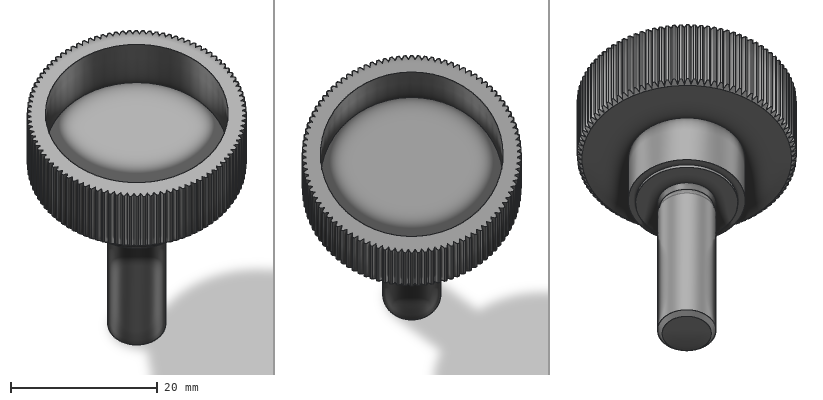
import cadquery as cq
import math

head_radius = 15.0
head_height = 11.0
head_chamfer = 0.65
recess_radius = 12.5
recess_depth = 8.0

groove_count = 100
groove_depth = 0.54
groove_width = 0.63

hub_radius = 8.0
hub_height = 8.0
step_radius = 7.0
step_height = 0.5

stud_radius = 4.0
stud_length = 25.0
stud_chamfer = 0.63
undercut_depth = 0.27
undercut_length = 2.0

step_bottom = stud_length
hub_bottom = step_bottom + step_height
head_bottom = hub_bottom + hub_height
head_top = head_bottom + head_height


def make_turned_body():
    """Head, hub, step and stud as one revolved half section (radius, height)."""
    section = (
        cq.Workplane("XZ")
        .moveTo(0, 0)
        .lineTo(stud_radius - stud_chamfer, 0)
        .lineTo(stud_radius, stud_chamfer)
        .lineTo(stud_radius, step_bottom - undercut_length)
        .lineTo(stud_radius - undercut_depth, step_bottom - undercut_length / 2)
        .lineTo(stud_radius, step_bottom)
        .lineTo(step_radius, step_bottom)
        .lineTo(step_radius, hub_bottom)
        .lineTo(hub_radius, hub_bottom)
        .lineTo(hub_radius, head_bottom)
        .lineTo(head_radius - head_chamfer, head_bottom)
        .lineTo(head_radius, head_bottom + head_chamfer)
        .lineTo(head_radius, head_top)
        .lineTo(recess_radius, head_top)
        .lineTo(recess_radius, head_top - recess_depth)
        .lineTo(0, head_top - recess_depth)
        .close()
    )
    return section.revolve(360, (0, 0, 0), (0, 1, 0))


def on_circle(radius, angle):
    """Point at the given radius and angle in the XY plane."""
    return (radius * math.cos(angle), radius * math.sin(angle))


def make_knurl_envelope():
    """Prism that keeps the knurled head outline and everything inside it."""
    pitch_angle = 2 * math.pi / groove_count
    half_groove_angle = math.asin(groove_width / 2 / head_radius)
    root_radius = head_radius - groove_depth
    outline = cq.Workplane("XY").moveTo(root_radius, 0)
    for index in range(groove_count):
        groove_angle = index * pitch_angle
        next_groove_angle = groove_angle + pitch_angle
        outline = (
            outline.lineTo(*on_circle(head_radius, groove_angle + half_groove_angle))
            .threePointArc(
                on_circle(head_radius, groove_angle + pitch_angle / 2),
                on_circle(head_radius, next_groove_angle - half_groove_angle),
            )
        )
        if index < groove_count - 1:
            outline = outline.lineTo(*on_circle(root_radius, next_groove_angle))
    return outline.close().extrude(head_top)


result = make_turned_body().intersect(make_knurl_envelope())